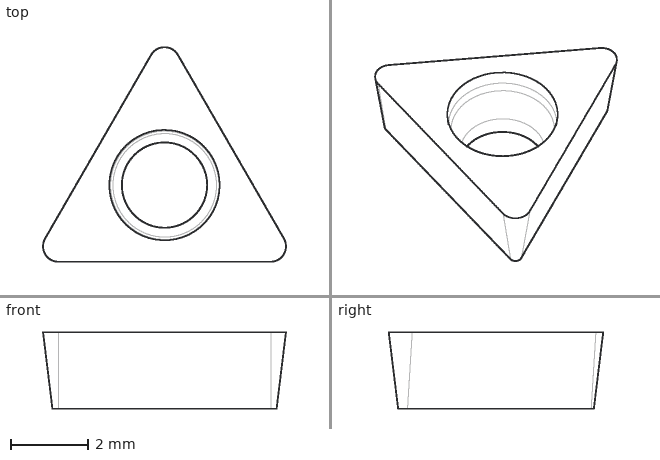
import cadquery as cq
import math

width = 6.29
thickness = 1.98
corner_radius = 0.4
clearance_angle = 7.0

rim_radius = 1.43
seat_start_radius = 1.4
seat_start_depth = 0.385
seat_bend_radius = 1.34
seat_bend_depth = 0.61
bore_radius = 2.2 / 2
bore_depth = 1.445

corner_spacing = width - 2 * corner_radius
corner_circle_radius = corner_spacing / math.sqrt(3)
flank_shrink = thickness * math.tan(math.radians(clearance_angle))


def rounded_triangle(z, radius):
    """Wire of the outline at height z, with the given corner radius."""
    corners = []
    for angle in (90, 210, 330):
        a = math.radians(angle)
        corners.append((corner_circle_radius * math.cos(a), corner_circle_radius * math.sin(a), z))
    core = cq.Wire.makePolygon([cq.Vector(*corner) for corner in corners], close=True)
    return core.offset2D(radius, "arc")[0]


def make_body():
    """Loft with conical corners: both outlines share their corner centres."""
    lower = rounded_triangle(0, corner_radius - flank_shrink)
    upper = rounded_triangle(thickness, corner_radius)
    return cq.Workplane(cq.Solid.makeLoft([lower, upper], True))


def make_screw_hole():
    """Revolved cutter: bore, S-shaped screw seat and slightly conical mouth."""
    return (
        cq.Workplane("XZ")
        .lineTo(bore_radius, 0)
        .lineTo(bore_radius, thickness - bore_depth)
        .tangentArcPoint((seat_bend_radius, thickness - seat_bend_depth), relative=False)
        .tangentArcPoint((seat_start_radius, thickness - seat_start_depth), relative=False)
        .lineTo(rim_radius, thickness)
        .lineTo(0, thickness)
        .close()
        .revolve(360, (0, 0, 0), (0, 1, 0))
    )


result = make_body().cut(make_screw_hole())